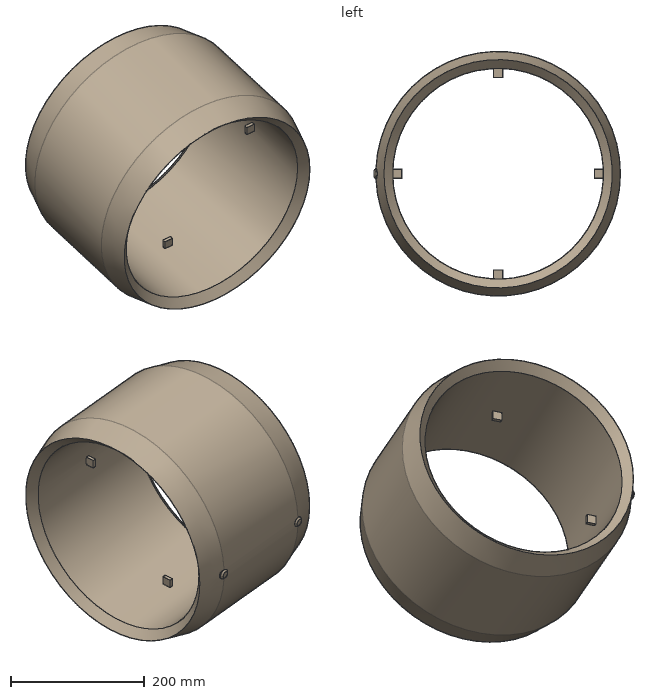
import cadquery as cq

length = 254.3
outer_diameter = 366.0
inner_radius = 157.5
end_radius = 170.5
taper_length = 41.5

tab_width = 14.0
tab_height = 13.5
tab_thickness = 5.0
tab_count = 4
tab_embed = 7.5

overall_width = 368.5
stud_radius = 8.0
stud_chamfer = 3.0
stud_embed = 11.0

half_length = length / 2
outer_radius = outer_diameter / 2
bore_chamfer = end_radius - inner_radius
bore_end = half_length - bore_chamfer
shoulder = half_length - taper_length
stud_top = overall_width - outer_radius


def make_ring():
    """Revolve the wall section, tapered outside and chamfered inside at both ends."""
    return (
        cq.Workplane("XY")
        .moveTo(-bore_end, inner_radius)
        .lineTo(-half_length, end_radius)
        .lineTo(-shoulder, outer_radius)
        .lineTo(shoulder, outer_radius)
        .lineTo(half_length, end_radius)
        .lineTo(bore_end, inner_radius)
        .close()
        .revolve(360, (0, 0, 0), (1, 0, 0))
    )


def make_tab(angle):
    """Make a tab reaching inward from the bore, turned about X."""
    tab = cq.Workplane("XY").box(
        tab_thickness, tab_width, tab_height + tab_embed, centered=(True, True, False)
    )
    tab = tab.translate((0, 0, inner_radius - tab_height))
    return tab.rotate((0, 0, 0), (1, 0, 0), angle)


def make_stud(x):
    """Make a stud standing out of the wall toward +Y."""
    base = outer_radius - stud_embed
    return (
        cq.Workplane("XZ", origin=(x, base, 0))
        .circle(stud_radius)
        .extrude(base - stud_top)
        .faces(">Y")
        .chamfer(stud_chamfer)
    )


result = make_ring()
for index in range(tab_count):
    result = result.union(make_tab(index * 360 / tab_count))
for stud_x in (-shoulder, shoulder):
    result = result.union(make_stud(stud_x))